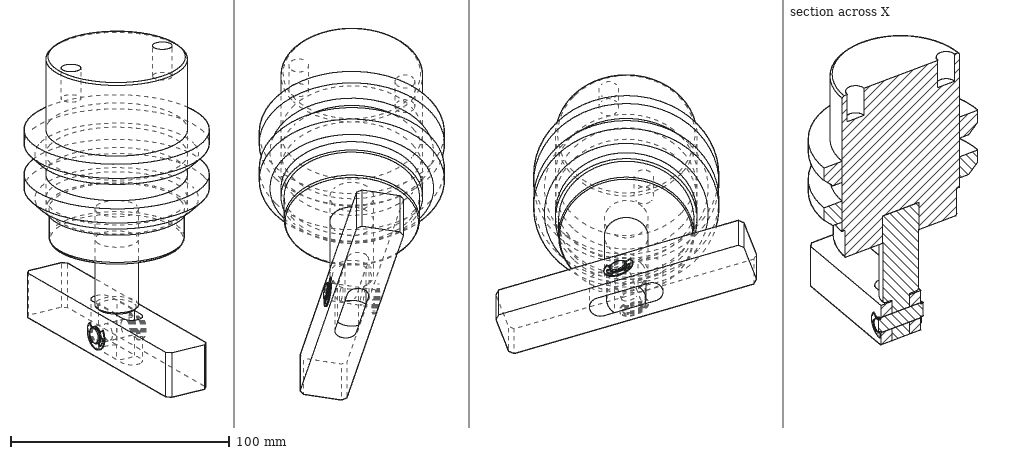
import cadquery as cq
import math

bar_length = 120.0
bar_width = 22.0
bar_height = 22.0
bar_corner_chamfer = 2.0
slot_width = 10.0
slot_length = 35.0

total_height = 146.0
housing_diameter = 65.0
housing_radius = housing_diameter / 2
nose_diameter = 62.0
nose_radius = nose_diameter / 2
housing_bottom = 55.9
nose_length = 15.0
nose_top = housing_bottom + nose_length
housing_top_chamfer = 1.0
nose_chamfer_width = 0.5
nose_chamfer_height = 1.0
port_diameter = 9.0
port_depth = 15.0
port_offset = 25.0

ring_radius = 42.5
ring_height = 12.0
ring_taper = 5.0
ring_count = 2
ring_pitch = 22.0
lowest_ring_bottom = 76.0

rod_diameter = 20.0
rod_radius = rod_diameter / 2
rod_chamfer = 1.0
tongue_radius = rod_radius - rod_chamfer
shoulder_gap = 0.5
shoulder_z = bar_height + shoulder_gap

pin_diameter = 8.0
pin_radius = pin_diameter / 2
pin_length = 25.0
pin_chamfer = 0.5
pin_z = bar_height / 2

clip_radius = 7.0
clip_thickness = 0.5
groove_radius = 3.5
clip_window_radius = 5.7
mouth_angle = 36.0
window_start_angle = 0.0
window_end_angle = -56.0


def polar(radius, angle):
    """Point at a radius and an angle in degrees."""
    return (radius * math.cos(math.radians(angle)), radius * math.sin(math.radians(angle)))


def cylinder(radius, bottom, top):
    """Cylinder on the Z axis between two heights."""
    return cq.Workplane("XY").workplane(offset=bottom).circle(radius).extrude(top - bottom)


def cylinder_along_y(radius, length):
    """Cylinder on the hinge axis, centred on Y = 0."""
    return cq.Workplane("XZ", origin=(0, 0, pin_z)).circle(radius).extrude(length / 2, both=True)


def make_housing():
    profile = [
        (0, housing_bottom),
        (nose_radius - nose_chamfer_width, housing_bottom),
        (nose_radius, housing_bottom + nose_chamfer_height),
        (nose_radius, nose_top),
        (housing_radius, nose_top),
        (housing_radius, total_height - housing_top_chamfer),
        (housing_radius - housing_top_chamfer, total_height),
        (0, total_height),
    ]
    body = cq.Workplane("XZ").polyline(profile).close().revolve(360, (0, 0, 0), (0, 1, 0))
    body = body.cut(cylinder(rod_radius, housing_bottom, nose_top))
    ports = (
        cq.Workplane("XY")
        .workplane(offset=total_height - port_depth)
        .pushPoints([(0, -port_offset), (0, port_offset)])
        .circle(port_diameter / 2)
        .extrude(port_depth)
    )
    return body.cut(ports)


def make_ring(bottom):
    """Ring with a flat top, its outer lower edge bevelled at 45 degrees."""
    profile = [
        (housing_radius, bottom),
        (ring_radius - ring_taper, bottom),
        (ring_radius, bottom + ring_taper),
        (ring_radius, bottom + ring_height),
        (housing_radius, bottom + ring_height),
    ]
    return cq.Workplane("XZ").polyline(profile).close().revolve(360, (0, 0, 0), (0, 1, 0))


def make_rod():
    shank = cylinder(rod_radius, shoulder_z, nose_top).faces("<Z").chamfer(rod_chamfer)
    flats = cq.Workplane("XY").rect(2 * rod_radius, slot_width).extrude(shoulder_z)
    tongue = cylinder(tongue_radius, 0, shoulder_z).intersect(flats)
    return shank.union(tongue).cut(cylinder_along_y(pin_radius, bar_width))


def make_bar():
    bar = (
        cq.Workplane("XY")
        .rect(bar_length, bar_width)
        .extrude(bar_height)
        .edges("|Z")
        .chamfer(bar_corner_chamfer)
    )
    slot = cq.Workplane("XY").slot2D(slot_length, slot_width).extrude(bar_height)
    return bar.cut(slot).cut(cylinder_along_y(pin_radius, bar_width))


def make_pin():
    pin = cylinder_along_y(pin_radius, pin_length).faces("<Y or >Y").chamfer(pin_chamfer)
    groove_span = bar_width + 2 * clip_thickness
    grooves = (
        cylinder_along_y(pin_radius, groove_span)
        .cut(cylinder_along_y(pin_radius, bar_width))
        .cut(cylinder_along_y(groove_radius, groove_span))
    )
    return pin.cut(grooves)


def clip_sector(radius, start_angle, end_angle, plane):
    """Pie slice of clip thickness, centred on the hinge axis."""
    return (
        plane.moveTo(0, 0)
        .lineTo(*polar(radius, start_angle))
        .threePointArc(polar(radius, (start_angle + end_angle) / 2), polar(radius, end_angle))
        .close()
        .extrude(clip_thickness)
    )


def make_clip(back_y):
    """E-clip whose face farther along +Y lies at back_y."""
    plane = cq.Workplane("XZ", origin=(0, back_y, pin_z))
    clip = plane.circle(clip_radius).circle(groove_radius).extrude(clip_thickness)
    clip = clip.cut(clip_sector(2 * clip_radius, mouth_angle, 180 - mouth_angle, plane))
    right_window = clip_sector(clip_window_radius, window_start_angle, window_end_angle, plane)
    return clip.cut(right_window).cut(right_window.mirror("YZ"))


housing = make_housing()
rings = [make_ring(lowest_ring_bottom + i * ring_pitch) for i in range(ring_count)]
rod = make_rod()
bar = make_bar()
pin = make_pin()
clips = [make_clip(back_y) for back_y in (-bar_width / 2, bar_width / 2 + clip_thickness)]

result = cq.Compound.makeCompound(
    [
        housing.val(),
        *[ring.val() for ring in rings],
        rod.val(),
        bar.val(),
        pin.val(),
        *[clip.val() for clip in clips],
    ]
)